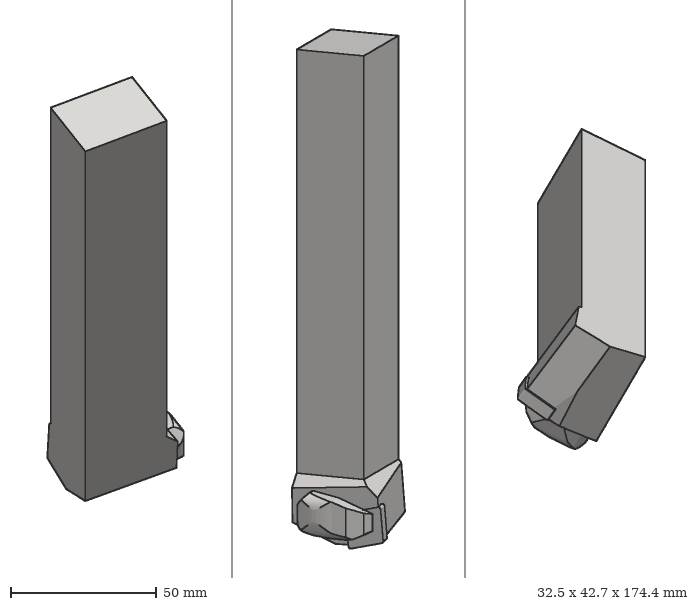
import cadquery as cq
import math

TOTAL_HEIGHT = 174.5
SHANK_WIDTH = 25.0
SHANK_DEPTH = 32.0
HEAD_TOP = 24.6

TAPER_DEPTH = 36.6
FRONT_SHOULDER = (-1.0, 23.5)
FRONT_CORNER = (-2.5, 6.3)
FRONT_APEX = (11.2, 2.8)
FRONT_HEEL = (SHANK_WIDTH, 8.5)
BACK_SHOULDER = (-6.1, 18.5)
BACK_CORNER = (-7.3, 3.1)
BACK_APEX = (7.0, 0.2)
BACK_HEEL = (SHANK_WIDTH, 8.0)
APEX_FLAT_HEIGHT = 1.4

RAKE_CORNER = (-7.5, 32.6, 3.0)
RAKE_SLOPE_X = 0.09
RAKE_SLOPE_Z = 0.04

INSERT_SIDE = 12.9
INSERT_THICKNESS = 4.7
INSERT_ANGLE = 100.0
INSERT_LEAD = 14.0
INSERT_NOSE_RADIUS = 0.9

CLAMP_TOP = 42.7
CLAMP_BASE = SHANK_DEPTH
CLAMP_NOSE = -3.8
CLAMP_TAIL = 22.2
CLAMP_LOW = 3.1
CLAMP_HIGH = 21.0

MARGIN = 52.3

rake_normal = cq.Vector(-RAKE_SLOPE_X, 1, -RAKE_SLOPE_Z).normalized()
rake_plane = cq.Plane(origin=RAKE_CORNER, xDir=(1, RAKE_SLOPE_X, 0), normal=rake_normal)


def section(points, y):
    """Closed wire through (X, Z) points at depth y."""
    return cq.Wire.makePolygon([cq.Vector(x, y, z) for x, z in points], close=True)


def make_shank():
    height = TOTAL_HEIGHT - HEAD_TOP
    shank = cq.Workplane("XY").box(SHANK_WIDTH, SHANK_DEPTH, height, centered=False)
    return shank.translate((0, 0, HEAD_TOP))


def make_head():
    upper_edge = [(SHANK_WIDTH, HEAD_TOP), (0, HEAD_TOP)]
    front = section(upper_edge + [FRONT_SHOULDER, FRONT_CORNER, FRONT_APEX, FRONT_HEEL], 0)
    back = section(upper_edge + [BACK_SHOULDER, BACK_CORNER, BACK_APEX, BACK_HEEL], TAPER_DEPTH)
    head = cq.Workplane(cq.Solid.makeLoft([front, back], True))

    above_rake = cq.Workplane(rake_plane).rect(2 * MARGIN, 2 * MARGIN).extrude(MARGIN)
    below_apex = cq.Workplane("XY").workplane(offset=APEX_FLAT_HEIGHT)
    below_apex = below_apex.rect(2 * MARGIN, 2 * MARGIN).extrude(-MARGIN)

    slope = (
        cq.Workplane("YZ", origin=(-MARGIN, 0, 0))
        .moveTo(SHANK_DEPTH, HEAD_TOP)
        .lineTo(SHANK_DEPTH + MARGIN, HEAD_TOP - MARGIN)
        .lineTo(SHANK_DEPTH + MARGIN, HEAD_TOP)
        .close()
        .extrude(2 * MARGIN)
    )
    return head.cut(above_rake).cut(below_apex).cut(slope)


def make_clamp():
    side_profile = (
        cq.Workplane("XY")
        .moveTo(CLAMP_NOSE, CLAMP_BASE)
        .lineTo(CLAMP_NOSE, 33.7)
        .lineTo(-2.0, 36.6)
        .lineTo(3.3, 40.3)
        .lineTo(8.2, 41.3)
        .threePointArc((14.8, CLAMP_TOP), (20.2, 41.2))
        .threePointArc((21.6, 39.2), (CLAMP_TAIL, 36.3))
        .lineTo(CLAMP_TAIL, CLAMP_BASE)
        .close()
        .extrude(MARGIN)
    )
    end_profile = (
        cq.Workplane("YZ", origin=(CLAMP_NOSE, 0, 0))
        .moveTo(CLAMP_BASE, CLAMP_LOW)
        .lineTo(34.2, CLAMP_LOW)
        .lineTo(39.5, 5.0)
        .threePointArc((41.9, 7.7), (CLAMP_TOP, 10.5))
        .lineTo(CLAMP_TOP, 15.0)
        .threePointArc((41.7, 17.8), (39.5, 19.5))
        .lineTo(36.0, CLAMP_HIGH)
        .lineTo(CLAMP_BASE, CLAMP_HIGH)
        .close()
        .extrude(CLAMP_TAIL - CLAMP_NOSE)
    )
    plan = [(CLAMP_NOSE, 7.0), (5.2, CLAMP_LOW), (11.3, CLAMP_LOW), (18.8, 6.5), (CLAMP_TAIL, 9.0),
            (CLAMP_TAIL, 14.8), (17.5, 19.9), (8.2, 18.0), (CLAMP_NOSE, 13.0)]
    outline = section(plan, CLAMP_BASE)
    travel = cq.Vector(0, CLAMP_TOP - CLAMP_BASE, 0)
    plan_prism = cq.Workplane(cq.Solid.extrudeLinear(outline, [], travel))
    clamp = side_profile.intersect(end_profile).intersect(plan_prism)
    below_rake = cq.Workplane(rake_plane).rect(2 * MARGIN, 2 * MARGIN).extrude(-MARGIN)
    return clamp.cut(below_rake)


def make_insert():
    """Rhombic plate with its upper face on the rake plane, one corner at the head corner."""
    low = math.radians(INSERT_LEAD)
    high = math.radians(INSERT_ANGLE - INSERT_LEAD)
    lower = (INSERT_SIDE * math.cos(low), INSERT_SIDE * math.sin(low))
    upper = (INSERT_SIDE * math.cos(high), -INSERT_SIDE * math.sin(high))
    opposite = (lower[0] + upper[0], lower[1] + upper[1])
    plate = cq.Workplane(rake_plane).polyline([(0, 0), lower, opposite, upper]).close()
    plate = plate.extrude(-INSERT_THICKNESS)
    corner_edges = cq.ParallelDirSelector(rake_normal)
    return plate.edges(corner_edges).fillet(INSERT_NOSE_RADIUS)


insert = make_insert()
holder = make_shank().union(make_head()).union(make_clamp()).cut(insert)

result = cq.Compound.makeCompound([holder.val(), insert.val()])